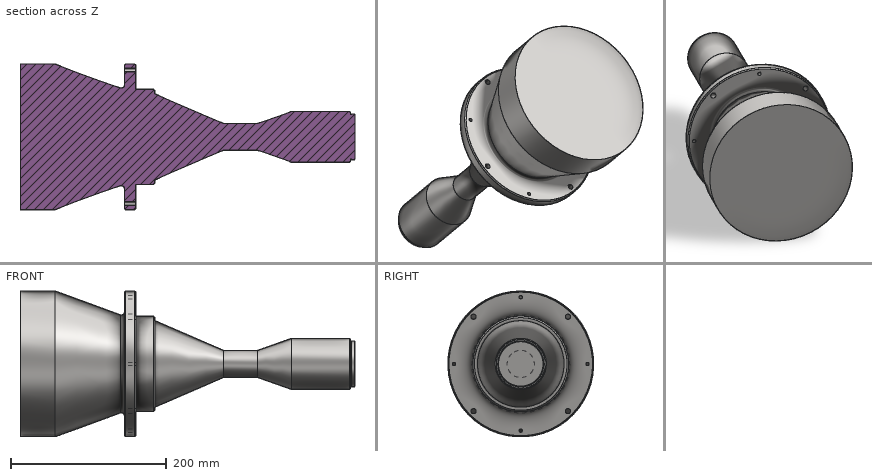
import cadquery as cq
import math

front_barrel_end = 44.8
front_cone_end = 128.8
neck_end = 130.2
flange_start = 134.0
flange_end = 148.8
hub_end = 173.2
waist_start = 261.6
waist_end = 305.6
rear_barrel_start = 349.4
rear_barrel_end = 425.4
total_length = 431.2

front_radius = 94.0
neck_radius = 63.2
flange_radius = 94.0
hub_radius = 61.7
hub_cone_radius = 55.8
waist_radius = 17.5
rear_radius = 33.0
mount_radius = 29.7

flange_chamfer = 1.5
hub_chamfer = 2.0
rear_chamfer = 1.5
mount_groove_length = 1.0
mount_groove_depth = 0.8
mount_chamfer = 1.0

hole_count = 8
hole_pitch_radius = 86.0
large_hole_diameter = 6.6
small_hole_diameter = 4.2


def profile_body():
    """Revolve the half-profile of the whole barrel about the X axis."""
    cove_radius = flange_start - neck_end
    cove_reach = cove_radius * math.sin(math.pi / 4)
    cove_middle = (neck_end + cove_reach, neck_radius + cove_radius - cove_reach)
    groove_end = rear_barrel_end + mount_groove_length
    groove_radius = mount_radius - mount_groove_depth
    profile = (
        cq.Workplane("XZ")
        .moveTo(0, 0)
        .lineTo(0, front_radius)
        .lineTo(front_barrel_end, front_radius)
        .lineTo(front_cone_end, neck_radius)
        .lineTo(neck_end, neck_radius)
        .threePointArc(cove_middle, (flange_start, neck_radius + cove_radius))
        .lineTo(flange_start, flange_radius - flange_chamfer)
        .lineTo(flange_start + flange_chamfer, flange_radius)
        .lineTo(flange_end - flange_chamfer, flange_radius)
        .lineTo(flange_end, flange_radius - flange_chamfer)
        .lineTo(flange_end, hub_radius)
        .lineTo(hub_end - hub_chamfer, hub_radius)
        .lineTo(hub_end, hub_radius - hub_chamfer)
        .lineTo(hub_end, hub_cone_radius)
        .lineTo(waist_start, waist_radius)
        .lineTo(waist_end, waist_radius)
        .lineTo(rear_barrel_start, rear_radius)
        .lineTo(rear_barrel_end - rear_chamfer, rear_radius)
        .lineTo(rear_barrel_end, rear_radius - rear_chamfer)
        .lineTo(rear_barrel_end, groove_radius)
        .lineTo(groove_end, groove_radius)
        .lineTo(groove_end, mount_radius)
        .lineTo(total_length - mount_chamfer, mount_radius)
        .lineTo(total_length, mount_radius - mount_chamfer)
        .lineTo(total_length, 0)
        .close()
    )
    return profile.revolve(360, (0, 0, 0), (1, 0, 0))


def flange_holes(diameter, start_angle):
    """Every second hole of the pitch circle, drilled through the flange."""
    return (
        cq.Workplane("YZ", origin=(flange_start, 0, 0))
        .polarArray(hole_pitch_radius, start_angle, 360, hole_count // 2)
        .circle(diameter / 2)
        .extrude(flange_end - flange_start)
    )


result = (
    profile_body()
    .cut(flange_holes(large_hole_diameter, 360 / hole_count))
    .cut(flange_holes(small_hole_diameter, 0))
)